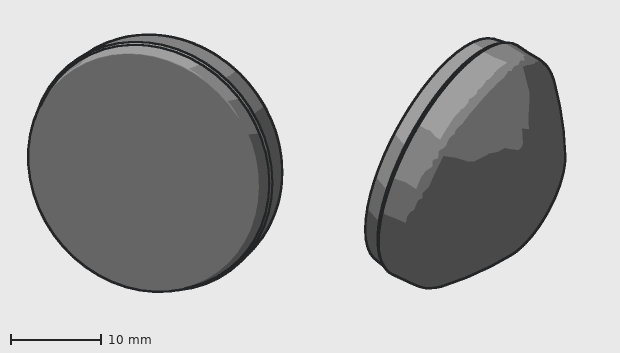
import cadquery as cq

outer_radius = 14.48
total_length = 12.4

cap_length = 1.97
cap_rim_radius = 14.25
cap_face_radius = 13.9
cap_edge_round = 0.17

lip_chamfer_length = 0.35
lip_radius = 14.25
band_end_radius = 14.28
band_end_station = 6.0
end_radius = 7.2
shoulder_bulge = 0.25
shoulder_round = 1.83
end_round = 0.58


def turn(profile):
    """Revolve a closed radius/station profile a full turn about the Y axis."""
    return profile.close().revolve(360, (0, 0, 0), (0, 1, 0))


def make_cap():
    profile = (
        cq.Workplane("XY")
        .lineTo(cap_face_radius, 0)
        .lineTo(cap_rim_radius, cap_length)
        .lineTo(0, cap_length)
    )
    return turn(profile).faces("<Y").edges().fillet(cap_edge_round)


def make_housing():
    profile = (
        cq.Workplane("XY")
        .moveTo(0, cap_length)
        .lineTo(lip_radius, cap_length)
        .lineTo(outer_radius, cap_length + lip_chamfer_length)
        .lineTo(band_end_radius, band_end_station)
        .sagittaArc((end_radius, total_length), -shoulder_bulge)
        .lineTo(0, total_length)
    )
    body = turn(profile)
    body = body.faces(">Y").edges().fillet(end_round)
    shoulder_center = (0, band_end_station, 0)
    shoulder_edge = cq.selectors.NearestToPointSelector(shoulder_center)
    return body.edges("%CIRCLE").edges(shoulder_edge).fillet(shoulder_round)


cap = make_cap()
housing = make_housing()

result = cq.Compound.makeCompound([cap.val(), housing.val()])